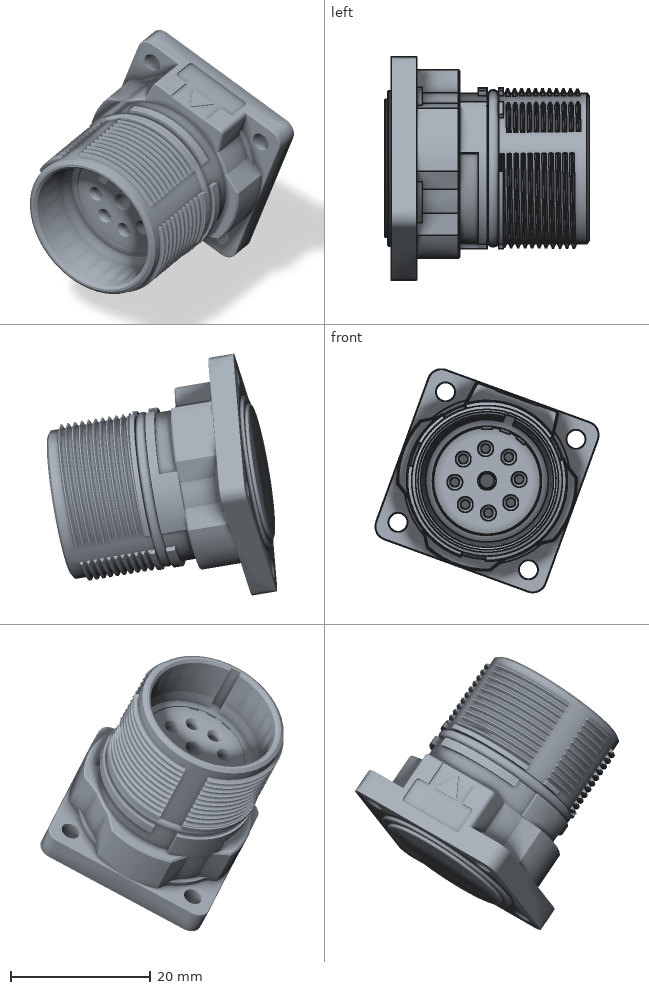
import cadquery as cq
import math


TILT = 20.0

COLLAR_FRONT = 12.35
COLLAR_BACK = 13.02
RING_CENTER = 13.82
KEY_FRONT = 14.68
KEY_BACK = 15.95
BODY_FRONT = 18.63
FLANGE_FRONT = 24.75
FLANGE_BACK = 28.45
STEP_BACK = 28.92
TOTAL_LENGTH = 29.4

BARREL_RADIUS = 10.8
CREST_RADIUS = 11.4
KEY_RADIUS = 11.55
GROOVE_RADIUS = 10.25
RING_TUBE_RADIUS = 0.77
RING_OUTER_RADIUS = 11.25
NOSE_CHAMFER_LENGTH = 0.4
NOSE_CHAMFER_DEPTH = 0.55
GAP_WIDTH = 18.0
GAP_ANGLES = [-90.0, -45.0, 45.0, 170.0]
COLLAR_BREAK = (-112.0, -68.0)
NECK_PADS = [(-99.0, -54.0), (117.0, 161.0)]

PITCH = 1.0
FIRST_CREST = 1.8
CREST_COUNT = 11
THREAD_BASE = 0.7
THREAD_TIP = 0.13
THREAD_SINK = 0.1

BORE_MOUTH_RADIUS = 9.9
BORE_FRONT_RADIUS = 9.52
BORE_BACK_RADIUS = 9.23
BORE_CHAMFER = 0.4
BORE_TAPER_END = 6.48
FLOOR_RADIUS = 8.8
FLOOR_DEPTH = 8.15
INSERT_RADIUS = 7.82
INSERT_GROOVE_WIDTH = 0.15
INSERT_GROOVE_DEPTH = 0.32
KEYWAY_WIDTH = 1.55
NOTCH_WIDTH = 1.47
NOTCH_DEPTH = 0.45
NOTCH_ANGLES = [-20.0, 0.0, 20.0]

CONTACT_COUNT = 8
CONTACT_CIRCLE_RADIUS = 4.62
CONTACT_HOLE = 1.3
CONTACT_MOUTH = 2.2
CENTER_HOLE = 2.1
CENTER_MOUTH = 2.63
MOUTH_DEPTH = 0.65
CONTACT_DEPTH = 4.8

FLANGE_SIDE = 25.87
FLANGE_CORNER = 2.0
FLANGE_EDGE = 0.2
HOLE_PITCH = 19.9
HOLE_DIAMETER = 2.7
STEP_RADIUS = 11.15
BACK_RADIUS = 9.9
BACK_EDGE = 0.15

BODY_RADIUS = 11.35
LEDGE_RADIUS = 11.95
LEDGE_LENGTH = 0.75
LOBE_RADIUS = 12.92
LOBE_HALF_ANGLE = 22.0
LOBE_FOOT_RADIUS = 11.05
LOBE_FOOT_ANGLE = 39.5
LOBE_ANGLES = [90.0, 180.0, 270.0]
BODY_EDGE = 0.22
BLOCK_TOP_HALF_WIDTH = 6.28
BLOCK_FOOT_HALF_WIDTH = 6.92
BLOCK_FOOT = 8.0
BLOCK_CORNER = 0.65

PANEL_DEPTH = 0.32
PANEL_WIDTH = 10.35
PANEL_FRONT = 22.45
PANEL_BACK = 26.48
PANEL_CORNER = 0.48
PANEL_STEM_WIDTH = 6.3
ARROW_WIDTH = 3.85
ARROW_TIP = 19.2
ARROW_HEIGHT = 0.15


def polar(radius, angle):
    turn = math.radians(angle)
    return (radius * math.cos(turn), radius * math.sin(turn))


def disc(radius, start, end):
    return cq.Workplane("XY").workplane(offset=start).circle(radius).extrude(end - start)


def sector(radius, first, last, start, end):
    """Pie slice between two angles and two positions along the axis."""
    return (
        cq.Workplane("XY")
        .workplane(offset=start)
        .moveTo(0, 0)
        .lineTo(*polar(radius, first))
        .threePointArc(polar(radius, (first + last) / 2), polar(radius, last))
        .close()
        .extrude(end - start)
    )


def revolved(points):
    """Turn an outline of (radius, position) points about the axis."""
    return cq.Workplane("XZ").polyline(points).close().revolve(360, (0, 0, 0), (0, 1, 0))


def make_flange():
    plate = (
        cq.Workplane("XY")
        .workplane(offset=FLANGE_FRONT)
        .rect(FLANGE_SIDE, FLANGE_SIDE)
        .extrude(FLANGE_BACK - FLANGE_FRONT)
        .edges("|Z")
        .fillet(FLANGE_CORNER)
        .faces("<Z")
        .edges()
        .fillet(FLANGE_EDGE)
    )
    step = disc(STEP_RADIUS, FLANGE_BACK, STEP_BACK).faces(">Z").edges().chamfer(BACK_EDGE)
    back = disc(BACK_RADIUS, STEP_BACK, TOTAL_LENGTH).faces(">Z").edges().chamfer(BACK_EDGE)
    return plate.union(step).union(back)


def make_block():
    half = FLANGE_SIDE / 2
    return (
        cq.Workplane("XY")
        .workplane(offset=BODY_FRONT)
        .polyline([
            (0, -BLOCK_FOOT_HALF_WIDTH),
            (BLOCK_FOOT, -BLOCK_FOOT_HALF_WIDTH),
            (half, -BLOCK_TOP_HALF_WIDTH),
            (half, BLOCK_TOP_HALF_WIDTH),
            (BLOCK_FOOT, BLOCK_FOOT_HALF_WIDTH),
            (0, BLOCK_FOOT_HALF_WIDTH),
        ])
        .close()
        .extrude(FLANGE_FRONT + FLANGE_EDGE - BODY_FRONT)
        .edges("|Z and >X")
        .fillet(BLOCK_CORNER)
    )


def make_lobe(angle):
    return (
        cq.Workplane("XY")
        .workplane(offset=BODY_FRONT)
        .moveTo(0, 0)
        .lineTo(*polar(LOBE_FOOT_RADIUS, angle - LOBE_FOOT_ANGLE))
        .lineTo(*polar(LOBE_RADIUS, angle - LOBE_HALF_ANGLE))
        .threePointArc(polar(LOBE_RADIUS, angle), polar(LOBE_RADIUS, angle + LOBE_HALF_ANGLE))
        .lineTo(*polar(LOBE_FOOT_RADIUS, angle + LOBE_FOOT_ANGLE))
        .close()
        .extrude(FLANGE_FRONT - BODY_FRONT)
    )


def make_body():
    body = disc(BODY_RADIUS, BODY_FRONT, FLANGE_FRONT).union(make_block())
    for angle in LOBE_ANGLES:
        body = body.union(make_lobe(angle))
    body = body.faces("<Z").edges().chamfer(BODY_EDGE)
    return body.union(disc(LEDGE_RADIUS, FLANGE_FRONT - LEDGE_LENGTH, FLANGE_FRONT))


def make_barrel():
    nose_radius = BARREL_RADIUS - NOSE_CHAMFER_DEPTH
    barrel = revolved([
        (0, 0),
        (nose_radius, 0),
        (BARREL_RADIUS, NOSE_CHAMFER_LENGTH),
        (BARREL_RADIUS, COLLAR_BACK),
        (GROOVE_RADIUS, COLLAR_BACK),
        (GROOVE_RADIUS, KEY_FRONT),
        (BARREL_RADIUS, KEY_FRONT),
        (BARREL_RADIUS, BODY_FRONT),
        (0, BODY_FRONT),
    ])
    tube_center = RING_OUTER_RADIUS - RING_TUBE_RADIUS
    seal = (
        cq.Workplane("XZ")
        .center(tube_center, RING_CENTER)
        .circle(RING_TUBE_RADIUS)
        .revolve(360, (-tube_center, 0, 0), (-tube_center, 1, 0))
    )
    return barrel.union(seal)


def make_thread_patch(first, last):
    """Thread crests between two gaps: rings tilted by the lead angle of the right-handed thread."""
    middle = (first + last) / 2
    root = BARREL_RADIUS - THREAD_SINK
    start = FIRST_CREST + PITCH * middle / 360
    outline = [(root - THREAD_SINK, start - THREAD_BASE / 2)]
    for index in range(CREST_COUNT):
        height = start + PITCH * index
        outline += [
            (root, height - THREAD_BASE / 2),
            (CREST_RADIUS, height - THREAD_TIP / 2),
            (CREST_RADIUS, height + THREAD_TIP / 2),
            (root, height + THREAD_BASE / 2),
        ]
    outline.append((root - THREAD_SINK, outline[-1][1]))
    lead_angle = math.degrees(math.atan(PITCH / (2 * math.pi * BARREL_RADIUS)))
    center = start + PITCH * (CREST_COUNT - 1) / 2
    half_span = (last - first) / 2
    return (
        cq.Workplane("XZ")
        .polyline(outline)
        .close()
        .revolve(last - first, (0, 0, 0), (0, 1, 0))
        .rotate((0, 0, 0), (0, 0, 1), -half_span)
        .rotate((0, 0, center), (1, 0, center), lead_angle)
        .rotate((0, 0, 0), (0, 0, 1), middle)
    )


def make_thread():
    patches = []
    next_gaps = GAP_ANGLES[1:] + [GAP_ANGLES[0] + 360]
    for gap, next_gap in zip(GAP_ANGLES, next_gaps):
        patches.append(make_thread_patch(gap + GAP_WIDTH / 2, next_gap - GAP_WIDTH / 2))
    return patches


def make_collar_and_keys():
    """Collar and locking keys, interrupted by the lengthwise gaps, and pads behind the keys."""
    collar = disc(KEY_RADIUS, COLLAR_FRONT, COLLAR_BACK)
    collar = collar.cut(sector(2 * KEY_RADIUS, *COLLAR_BREAK, COLLAR_FRONT, COLLAR_BACK))
    rings = collar.union(disc(KEY_RADIUS, KEY_FRONT, KEY_BACK))
    for angle in GAP_ANGLES:
        first = angle - GAP_WIDTH / 2
        rings = rings.cut(sector(2 * KEY_RADIUS, first, first + GAP_WIDTH, 0, BODY_FRONT))
    return [rings] + [sector(KEY_RADIUS, *pad, KEY_FRONT, BODY_FRONT) for pad in NECK_PADS]


def make_bore():
    bore = revolved([
        (0, 0),
        (BORE_MOUTH_RADIUS, 0),
        (BORE_FRONT_RADIUS, BORE_CHAMFER),
        (BORE_BACK_RADIUS, BORE_TAPER_END),
        (FLOOR_RADIUS, FLOOR_DEPTH),
        (0, FLOOR_DEPTH),
    ])
    keyway = (
        cq.Workplane("XY")
        .center(BORE_MOUTH_RADIUS / 2, 0)
        .rect(BORE_MOUTH_RADIUS, KEYWAY_WIDTH)
        .extrude(FLOOR_DEPTH)
    )
    groove = (
        cq.Workplane("XY")
        .workplane(offset=FLOOR_DEPTH)
        .circle(INSERT_RADIUS)
        .circle(INSERT_RADIUS - INSERT_GROOVE_WIDTH)
        .extrude(INSERT_GROOVE_DEPTH)
    )
    cutter = bore.union(keyway).union(groove)
    for angle in NOTCH_ANGLES:
        notch = (
            cq.Workplane("XY")
            .workplane(offset=FLOOR_DEPTH)
            .center(INSERT_RADIUS - NOTCH_DEPTH / 2, 0)
            .rect(NOTCH_DEPTH, NOTCH_WIDTH)
            .extrude(INSERT_GROOVE_DEPTH)
            .rotate((0, 0, 0), (0, 0, 1), angle)
        )
        cutter = cutter.union(notch)
    return cutter


def make_socket(mouth, hole):
    """Contact hole with a flared mouth, on the axis."""
    return revolved([
        (0, FLOOR_DEPTH),
        (mouth / 2, FLOOR_DEPTH),
        (hole / 2, FLOOR_DEPTH + MOUTH_DEPTH),
        (hole / 2, FLOOR_DEPTH + CONTACT_DEPTH),
        (0, FLOOR_DEPTH + CONTACT_DEPTH),
    ])


def cut_contacts(part):
    part = part.cut(make_socket(CENTER_MOUTH, CENTER_HOLE))
    socket = make_socket(CONTACT_MOUTH, CONTACT_HOLE)
    spacing = 360 / CONTACT_COUNT
    for index in range(CONTACT_COUNT):
        place = polar(CONTACT_CIRCLE_RADIUS, spacing * (index + 0.5))
        part = part.cut(socket.translate((*place, 0)))
    return part


def cut_flange_holes(part):
    holes = (
        cq.Workplane("XY")
        .workplane(offset=FLANGE_FRONT)
        .rect(HOLE_PITCH, HOLE_PITCH, forConstruction=True)
        .vertices()
        .circle(HOLE_DIAMETER / 2)
        .extrude(FLANGE_BACK - FLANGE_FRONT)
    )
    return part.cut(holes)


def cut_marking_panel(part):
    """T-shaped recess in the block, with a raised arrow pointing to the mating face."""
    floor = cq.Workplane("YZ").workplane(offset=FLANGE_SIDE / 2 - PANEL_DEPTH)
    bar = (
        floor.center(0, (PANEL_FRONT + PANEL_BACK) / 2)
        .rect(PANEL_WIDTH, PANEL_BACK - PANEL_FRONT)
        .extrude(PANEL_DEPTH)
        .edges("|X")
        .fillet(PANEL_CORNER)
    )
    stem_length = PANEL_FRONT + PANEL_CORNER - BODY_FRONT
    stem = (
        floor.center(0, BODY_FRONT + stem_length / 2)
        .rect(PANEL_STEM_WIDTH, stem_length)
        .extrude(PANEL_DEPTH)
    )
    arrow = (
        floor.polyline([
            (-ARROW_WIDTH / 2, PANEL_FRONT),
            (ARROW_WIDTH / 2, PANEL_FRONT),
            (0, ARROW_TIP),
        ])
        .close()
        .extrude(ARROW_HEIGHT)
    )
    return part.cut(bar.union(stem)).union(arrow)


barrel = make_barrel()
for feature in make_collar_and_keys() + make_thread():
    barrel = barrel.union(feature)
connector = make_flange().union(make_body()).union(barrel)
connector = connector.cut(make_bore())
connector = cut_contacts(connector)
connector = cut_flange_holes(connector)
connector = cut_marking_panel(connector)

result = connector.rotate((0, 0, 0), (0, 0, 1), TILT).rotate((0, 0, 0), (1, 1, 1), -120)